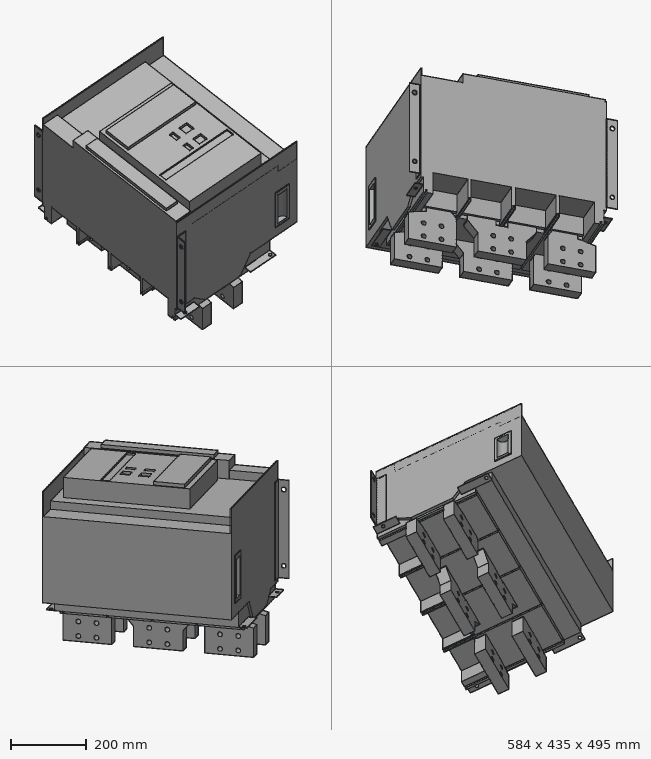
import cadquery as cq


depth = 435.0
plate_outer_x = 260.7
sheet = 3.0
body_half_width = plate_outer_x - sheet
base_half_width = 253.7
plate_top_z = 475.0
main_top_z = 429.0
shoulder_top_z = 453.0
shoulder_depth = 51.7
rear_top_z = 406.0
rear_step_y = 368.5

side_lower_edge = [(0, 139), (65.5, 139), (104, 105), (229, 105), (267, 166), (depth, 166)]
overhang_z = side_lower_edge[-1][1]

base_bottom_z = 94.0
base_depth = 293.0
base_rear_depth = 343.0
tab_bottom_z = 116.0

opening_spans = [(-226.5, -128.4), (-119.5, -5.7), (5.7, 119.5), (128.4, 226.5)]
opening_top_z = 158.5
opening_depth = 85.0
ledge_z = 105.0
ledge_depth = 95.0
groove_centers = [-245.3, -123.2, 0, 123.2, 245.3]
groove_width = 4.6
groove_height = 8.5

bar_thickness = 32.0
bar_front_faces = [91.0, 203.0]
bar_neck_top_z = 110.0
bar_hole_diameter = 13.0
bar_hole_pitch_x = 50.0
bar_hole_rows = [15.6, 56.0]
outer_bar_hole_x = 195.5
outer_bar_far_x = 263.0
outer_bar_far_top_z = 81.5
outer_bar_near_x = 128.4
outer_bar_near_top_z = 88.0
outer_neck_x = (-212.4, -145.0)
middle_bar_half_width = 68.3
middle_bar_shoulder_z = 56.5
middle_neck_x = (-97.0, -16.7)
middle_neck_bottom_z = 89.5

panel_x = (-115.4, 233.4)
panel_y = (71.5, 330.5)
panel_top_z = 485.0
lid_x = (-100.0, -14.5)
lid_y = (80.4, 326.0)
lid_top_z = 495.0
slot_x = (108.0, 133.0)
slot_y = (80.4, 324.0)
slot_depth = 5.0
button_columns = [(18.2, 45.8), (72.0, 97.5)]
button_rows = [(198.8, 212.5), (234.0, 262.0)]
button_depth = 8.0

frame_left_x = -142.4
frame_depth = 53.6
frame_top_z = 480.5
strip_x = (-98.0, 213.5)
strip_y = (6.5, 46.5)
strip_top_z = 490.5

grip_y = (355.0, 405.0)
grip_z = (203.0, 335.6)
grip_recess_z = (214.0, 322.6)
grip_radius = 16.3
grip_outer_x = plate_outer_x + sheet

flange_outer_x = 292.0
flange_z = (150.0, 423.0)
flange_leg_depth = 31.6
flange_bend_radius = 2.9
flange_hole_x = 277.5
flange_holes = [(184.0, 12.0), (396.0, 13.0)]
tab_outer_x = 277.0
tab_spans = [(0.0, 68.0), (252.0, base_rear_depth)]
tab_thickness = 2.0
tab_hole_x = 266.5
tab_hole_y = [25.0, 333.0]
tab_hole_diameter = 9.0


def box(x_span, y_span, z_span):
    """Box between the given (low, high) limits on each axis."""
    size = [high - low for low, high in (x_span, y_span, z_span)]
    return cq.Workplane("XY").box(*size, centered=False).translate((x_span[0], y_span[0], z_span[0]))


def side_profile(points, x_low, x_high):
    """Extrude a (y, z) outline from x_low to x_high."""
    outline = cq.Workplane("YZ", origin=(x_low, 0, 0)).polyline(points).close()
    return outline.extrude(x_high - x_low)


def front_profile(points, y_front, thickness):
    """Extrude an (x, z) outline rearwards from y_front."""
    outline = cq.Workplane("XZ", origin=(0, y_front, 0)).polyline(points).close()
    return outline.extrude(-thickness)


def mirrored(points):
    return [(-x, z) for x, z in points]


def make_enclosure():
    top_edge = [
        (depth, rear_top_z),
        (rear_step_y, rear_top_z),
        (rear_step_y, main_top_z),
        (shoulder_depth, main_top_z),
        (shoulder_depth, shoulder_top_z),
        (0, shoulder_top_z),
    ]
    return side_profile(side_lower_edge + top_edge, -body_half_width, body_half_width)


def make_base():
    outline = [
        (0, base_bottom_z),
        (base_depth, base_bottom_z),
        (base_depth, tab_bottom_z),
        (base_rear_depth, tab_bottom_z),
        (base_rear_depth, overhang_z),
        (0, overhang_z),
    ]
    return side_profile(outline, -base_half_width, base_half_width)


def cut_base_openings(body):
    for span in opening_spans:
        body = body.cut(box(span, (0, opening_depth), (base_bottom_z, opening_top_z)))
        body = body.cut(box(span, (0, ledge_depth), (base_bottom_z, ledge_z)))
    for center in groove_centers:
        span = (center - groove_width / 2, center + groove_width / 2)
        body = body.cut(box(span, (0, base_depth), (base_bottom_z, base_bottom_z + groove_height)))
    return body


def make_busbars():
    outer_bar = [
        (-outer_bar_far_x, 0),
        (-outer_bar_near_x, 0),
        (-outer_bar_near_x, outer_bar_near_top_z),
        (outer_neck_x[1], bar_neck_top_z),
        (outer_neck_x[0], bar_neck_top_z),
        (outer_neck_x[0], base_bottom_z),
        (-outer_bar_far_x, outer_bar_far_top_z),
    ]
    middle_bar_half = [
        (-middle_bar_half_width, 0),
        (-middle_bar_half_width, middle_bar_shoulder_z),
        (middle_neck_x[0], middle_neck_bottom_z),
        (middle_neck_x[0], bar_neck_top_z),
        (middle_neck_x[1], bar_neck_top_z),
        (middle_neck_x[1], middle_neck_bottom_z),
    ]
    middle_bar = middle_bar_half + mirrored(middle_bar_half[::-1])
    bars = cq.Workplane("XY")
    for y_front in bar_front_faces:
        for outline in (outer_bar, middle_bar, mirrored(outer_bar)):
            bars = bars.add(front_profile(outline, y_front, bar_thickness))
    bars = bars.combine()
    hole_points = [
        (center + side * bar_hole_pitch_x / 2, z)
        for center in (-outer_bar_hole_x, 0, outer_bar_hole_x)
        for side in (-1, 1)
        for z in bar_hole_rows
    ]
    holes = cq.Workplane("XZ").pushPoints(hole_points).circle(bar_hole_diameter / 2).extrude(-depth)
    return bars.cut(holes)


def make_control_panel():
    panel = box(panel_x, panel_y, (main_top_z, panel_top_z))
    panel = panel.union(box(lid_x, lid_y, (panel_top_z, lid_top_z)))
    panel = panel.cut(box(slot_x, slot_y, (panel_top_z - slot_depth, panel_top_z)))
    for column in button_columns:
        for row in button_rows:
            panel = panel.cut(box(column, row, (panel_top_z - button_depth, panel_top_z)))
    return panel


def make_front_strip():
    frame = box((frame_left_x, body_half_width), (0, frame_depth), (main_top_z, frame_top_z))
    return frame.union(box(strip_x, strip_y, (frame_top_z, strip_top_z)))


def make_left_side():
    """Side plate, grip frame, mounting angle and floor tabs of the left side."""
    plate_outline = side_lower_edge + [(depth, plate_top_z), (0, plate_top_z)]
    side = side_profile(plate_outline, -plate_outer_x, -body_half_width)
    side = side.union(box((-grip_outer_x, -plate_outer_x), grip_y, grip_z))

    flange = box((-flange_outer_x, -plate_outer_x), (0, sheet), flange_z)
    for z, diameter in flange_holes:
        hole = cq.Workplane("XZ").center(-flange_hole_x, z).circle(diameter / 2).extrude(-sheet)
        flange = flange.cut(hole)
    leg = box((-plate_outer_x - sheet, -plate_outer_x), (0, flange_leg_depth), flange_z)
    bend_point = (-plate_outer_x, 0, sum(flange_z) / 2)
    angle = flange.union(leg).edges(cq.selectors.NearestToPointSelector(bend_point))
    side = side.union(angle.fillet(flange_bend_radius))

    for y_span in tab_spans:
        tab_z = (tab_bottom_z, tab_bottom_z + tab_thickness)
        side = side.union(box((-tab_outer_x, -base_half_width), y_span, tab_z))
    tab_holes = cq.Workplane("XY", origin=(-tab_hole_x, 0, tab_bottom_z))
    tab_holes = tab_holes.pushPoints([(0, y) for y in tab_hole_y])
    return side.cut(tab_holes.circle(tab_hole_diameter / 2).extrude(tab_thickness))


def make_grip_recess():
    """Upright half-round recess opening through the face of the left grip frame."""
    center_y = sum(grip_y) / 2
    height = grip_recess_z[1] - grip_recess_z[0]
    base_plane = cq.Workplane("XY", origin=(-grip_outer_x, center_y, grip_recess_z[0]))
    return base_plane.circle(grip_radius).extrude(height)


body = cut_base_openings(make_enclosure().union(make_base()))
left_side = make_left_side()
grip_recess = make_grip_recess()

result = (
    body.union(make_busbars())
    .union(make_front_strip())
    .union(make_control_panel())
    .union(left_side)
    .union(left_side.mirror("YZ"))
    .cut(grip_recess)
    .cut(grip_recess.mirror("YZ"))
)